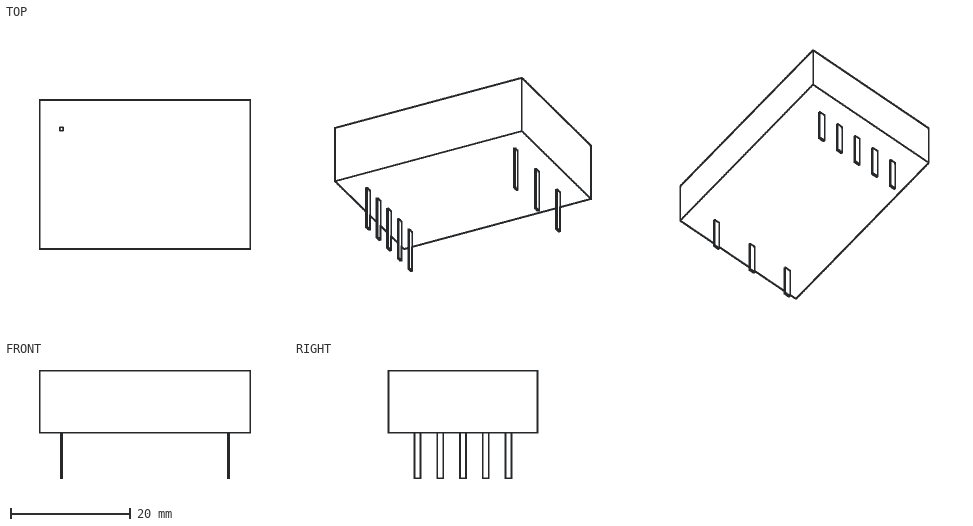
import cadquery as cq

case_length = 35.31
case_width = 24.99
case_height = 10.42

pin_length = 7.62
pin_width = 1.02
pin_thickness = 0.25
pin_pitch = 3.81
row_spacing = 27.94
row_x = row_spacing / 2

left_row_places = (-2, 0, 2)
right_row_places = (-2, -1, 0, 1, 2)

marker_diameter = 0.64
marker_depth = 0.25
marker_x = -row_x
marker_y = max(left_row_places) * pin_pitch


def make_marker():
    """Thin disc whose top is level with the top of the case."""
    return (
        cq.Workplane("XY", origin=(marker_x, marker_y, case_height - marker_depth))
        .circle(marker_diameter / 2)
        .extrude(marker_depth)
    )


def make_case(marker):
    """Solid block with a recess that the marker fills."""
    block = cq.Workplane("XY").box(
        case_length, case_width, case_height, centered=(True, True, False)
    )
    return block.cut(marker)


def make_pin(x, y):
    """Flat pin hanging from the underside of the case."""
    return (
        cq.Workplane("XY", origin=(x, y, 0))
        .rect(pin_thickness, pin_width)
        .extrude(-pin_length)
    )


marker = make_marker()
case = make_case(marker)

pins = []
for x, places in ((-row_x, left_row_places), (row_x, right_row_places)):
    for place in places:
        pins.append(make_pin(x, place * pin_pitch))

result = cq.Compound.makeCompound(
    [case.val(), marker.val(), *[pin.val() for pin in pins]]
)